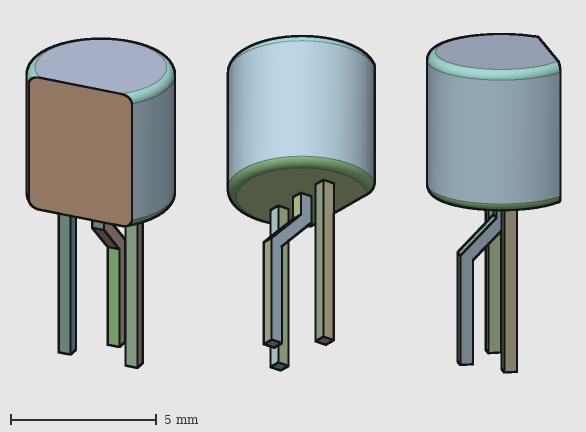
import cadquery as cq
import math

total_height = 11.0
body_radius = 2.55
body_height = 5.0
flat_distance = 1.65
edge_radius = 0.3

lead_width = 0.45
lead_pitch = 1.26
bend_drop = 0.84
bend_angle = 45.0

body_bottom = total_height - body_height


def make_body():
    """Cylinder with rounded rims, cut by a flat on the -Y side."""
    cylinder = (
        cq.Workplane("XY", origin=(0, 0, body_bottom))
        .circle(body_radius)
        .extrude(body_height)
        .edges()
        .fillet(edge_radius)
    )
    keep_depth = body_radius + flat_distance
    keep = cq.Workplane("XY", origin=(0, -flat_distance, body_bottom)).box(
        2 * body_radius, keep_depth, body_height, centered=(True, False, False)
    )
    return cylinder.intersect(keep)


def make_straight_lead(x):
    return cq.Workplane("XY", origin=(x, 0, 0)).rect(lead_width, lead_width).extrude(body_bottom)


def make_bent_lead():
    """Lead of constant thickness, bent towards +Y and then straight down."""
    front = -lead_width / 2
    rear = lead_width / 2
    rear_bend = body_bottom - bend_drop
    front_bend = rear_bend - lead_width * math.tan(math.radians(bend_angle / 2))
    bend_height = lead_pitch / math.tan(math.radians(bend_angle))
    return (
        cq.Workplane("YZ")
        .polyline([
            (front, body_bottom),
            (rear, body_bottom),
            (rear, rear_bend),
            (rear + lead_pitch, rear_bend - bend_height),
            (rear + lead_pitch, 0),
            (front + lead_pitch, 0),
            (front + lead_pitch, front_bend - bend_height),
            (front, front_bend),
        ])
        .close()
        .extrude(lead_width / 2, both=True)
    )


result = make_body().union(make_bent_lead())
for side in (-1, 1):
    result = result.union(make_straight_lead(side * lead_pitch))